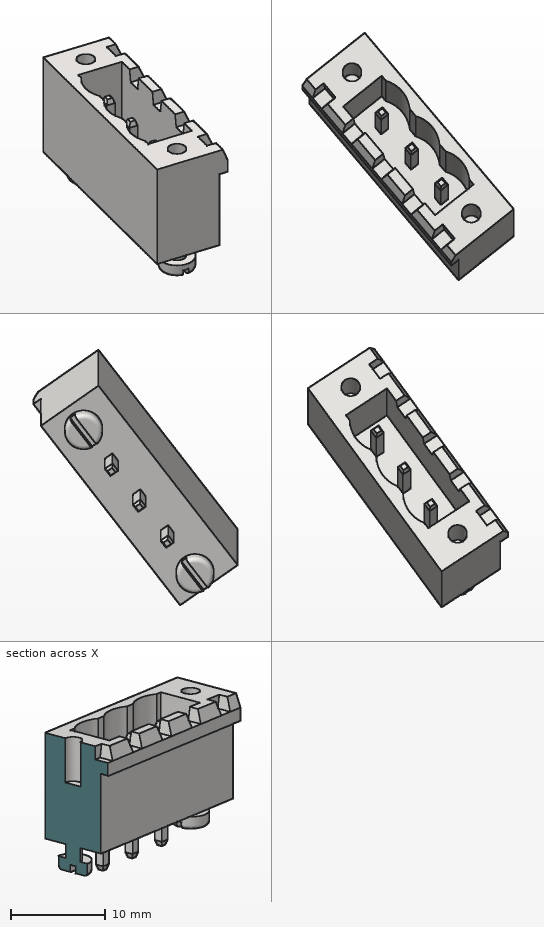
import cadquery as cq

length = 25.0
body_depth = 7.6
body_height = 12.0
lip_overhang = 1.0
lip_height = 3.0
lip_slope_depth = 0.6
lip_slope_height = 1.5
rear_y = body_depth + lip_overhang

pitch = 5.0
center_x = length / 2
center_y = body_depth / 2
contact_xs = [center_x + i * pitch for i in (-1, 0, 1)]
screw_xs = [center_x + i * pitch for i in (-2, 2)]

cavity_length = 15.4
cavity_front_y = 1.6
cavity_rear_y = 6.9
cavity_depth = 9.0
scallop_width = 4.0
scallop_depth = 0.6

notch_top_width = 2.0
notch_floor_width = 1.5
notch_depth = 1.5

pin_width = 1.0
pin_tip_width = 0.6
pin_taper = 0.6
pin_below = 4.0
pin_top_z = 10.0

screw_diameter = 2.0
shank_length = 1.5
head_diameter = 4.0
head_height = 1.5
head_round = 0.5
drive_slot_width = 0.65
drive_slot_depth = 0.8
hole_depth = 5.0


def housing():
    profile = [
        (0, 0),
        (body_depth, 0),
        (body_depth, body_height - lip_height),
        (rear_y, body_height - lip_height),
        (rear_y, body_height - lip_slope_height),
        (rear_y - lip_slope_depth, body_height),
        (0, body_height),
    ]
    return cq.Workplane("YZ").polyline(profile).close().extrude(length)


def cavity():
    left = center_x - cavity_length / 2
    right = center_x + cavity_length / 2
    outline = (
        cq.Workplane("XY", origin=(0, 0, body_height))
        .moveTo(left, cavity_rear_y)
        .lineTo(left, cavity_front_y)
    )
    for x in contact_xs:
        outline = outline.lineTo(x - scallop_width / 2, cavity_front_y).threePointArc(
            (x, cavity_front_y - scallop_depth),
            (x + scallop_width / 2, cavity_front_y),
        )
    return (
        outline.lineTo(right, cavity_front_y)
        .lineTo(right, cavity_rear_y)
        .close()
        .extrude(-cavity_depth)
    )


def notch(x):
    profile = [
        (x - notch_top_width / 2, body_height),
        (x - notch_floor_width / 2, body_height - notch_depth),
        (x + notch_floor_width / 2, body_height - notch_depth),
        (x + notch_top_width / 2, body_height),
    ]
    return (
        cq.Workplane("XZ", origin=(0, cavity_rear_y, 0))
        .polyline(profile)
        .close()
        .extrude(-(rear_y - cavity_rear_y))
    )


def pin_end(x, base_z, direction):
    return (
        cq.Workplane("XY", origin=(x, center_y, base_z))
        .rect(pin_width, pin_width)
        .workplane(offset=direction * pin_taper)
        .rect(pin_tip_width, pin_tip_width)
        .loft()
    )


def pin(x):
    bottom_z = pin_taper - pin_below
    top_z = pin_top_z - pin_taper
    shaft = (
        cq.Workplane("XY", origin=(x, center_y, bottom_z))
        .rect(pin_width, pin_width)
        .extrude(top_z - bottom_z)
    )
    return shaft.union(pin_end(x, bottom_z, -1)).union(pin_end(x, top_z, 1))


def screw(x):
    shank = (
        cq.Workplane("XY", origin=(x, center_y, 0))
        .circle(screw_diameter / 2)
        .extrude(-shank_length)
    )
    head = (
        cq.Workplane("XY", origin=(x, center_y, -shank_length))
        .circle(head_diameter / 2)
        .extrude(-head_height)
        .faces("<Z")
        .edges()
        .fillet(head_round)
    )
    drive_slot = cq.Workplane("XY", origin=(x, center_y, -shank_length - head_height)).box(
        head_diameter, drive_slot_width, drive_slot_depth, centered=(True, True, False)
    )
    return shank.union(head.cut(drive_slot))


def screw_hole(x):
    return (
        cq.Workplane("XY", origin=(x, center_y, body_height))
        .circle(screw_diameter / 2)
        .extrude(-hole_depth)
    )


result = housing().cut(cavity())
for x in screw_xs + contact_xs:
    result = result.cut(notch(x))
for x in screw_xs:
    result = result.cut(screw_hole(x)).union(screw(x))
for x in contact_xs:
    result = result.union(pin(x))